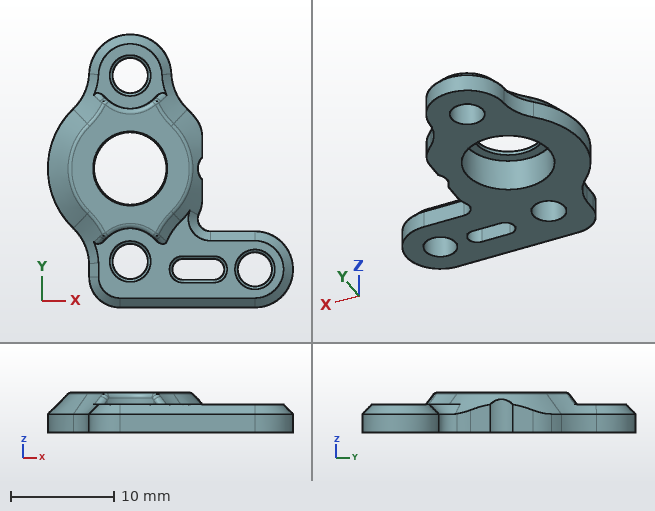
import cadquery as cq
import math

total_height = 3.9
plate_height = 2.73
wall_height = 1.8

body_radius = 8.0
bore_diameter = 7.0
bore_chamfer = 0.1
recess_diameter = 9.0
lip_thickness = 0.5
lug_offset = 9.0
lug_radius = 4.0
lug_blend_radius = 5.0
flat_x = 7.0
flat_corner_radius = 3.0
notch_radius = 1.65
notch_depth = 0.42

arm_end_x = 15.8
arm_bottom_y = -13.5
arm_radius = 3.7
arm_corner_radius = 3.0
arm_blend_radius = 1.2
arm_x = arm_end_x - arm_radius
arm_y = arm_bottom_y + arm_radius
arm_top_y = arm_y + arm_radius

lug_hole_diameter = 3.4
arm_hole_diameter = 3.29
slot_x = 6.6
slot_length = 5.0
slot_width = 2.0
hole_chamfer = 0.3

pocket_radius = 3.2
edge_fillet = 0.5


def on_circle(center, radius, toward):
    """Point of a circle that lies in the direction of another point."""
    angle = math.atan2(toward[1] - center[1], toward[0] - center[0])
    return (center[0] + radius * math.cos(angle), center[1] + radius * math.sin(angle))


def mirror_x(point):
    return (-point[0], point[1])


def mirror_y(point):
    return (point[0], -point[1])


origin = (0, 0)
lug_center = (0, lug_offset)
body_to_blend = body_radius + lug_blend_radius
lug_to_blend = lug_radius + lug_blend_radius
blend_y = (body_to_blend**2 - lug_to_blend**2 + lug_offset**2) / (2 * lug_offset)
blend_center = (math.sqrt(body_to_blend**2 - blend_y**2), blend_y)

blend_start = on_circle(origin, body_radius, blend_center)
blend_middle = on_circle(blend_center, lug_blend_radius, (0, lug_offset / 2))
blend_end = on_circle(lug_center, lug_radius, blend_center)


def bevelled(outline, height):
    """Solid of an outline with its upper rim bevelled at 45 degrees."""
    return outline.extrude(height).faces(">Z").chamfer(height - wall_height)


def make_body():
    lug_tip = (0, lug_offset + lug_radius)
    outline = (
        cq.Workplane("XY")
        .moveTo(*blend_start)
        .threePointArc(blend_middle, blend_end)
        .threePointArc(lug_tip, mirror_x(blend_end))
        .threePointArc(mirror_x(blend_middle), mirror_x(blend_start))
        .threePointArc((-body_radius, 0), mirror_y(mirror_x(blend_start)))
        .threePointArc(mirror_y(mirror_x(blend_middle)), mirror_y(mirror_x(blend_end)))
        .threePointArc(mirror_y(lug_tip), mirror_y(blend_end))
        .threePointArc(mirror_y(blend_middle), mirror_y(blend_start))
        .threePointArc((body_radius, 0), blend_start)
        .close()
    )
    return bevelled(outline, total_height)


def make_pocket(side):
    """Clearance over one lug: a round floor edge that opens outward along two 45 degree lines."""
    corner = pocket_radius * math.sqrt(0.5)
    reach = 2 * lug_radius
    return (
        cq.Workplane("XY", origin=(0, 0, plate_height))
        .moveTo(-corner, side * (lug_offset - corner))
        .threePointArc((0, side * (lug_offset - pocket_radius)), (corner, side * (lug_offset - corner)))
        .line(reach, side * reach)
        .line(-2 * (reach + corner), 0)
        .close()
        .extrude(total_height)
    )


flat_corner_x = flat_x - flat_corner_radius
flat_half_length = math.sqrt((body_radius - flat_corner_radius)**2 - flat_corner_x**2)
flat_corner_center = (flat_corner_x, flat_half_length)
flat_end = (flat_x, flat_half_length)
flat_corner_end = on_circle(origin, body_radius, flat_corner_center)
flat_corner_middle = on_circle(flat_corner_center, flat_corner_radius, (flat_x, flat_corner_end[1]))

lower_corner_center = mirror_y(flat_corner_center)
arm_blend_y = arm_top_y + arm_blend_radius
arm_blend_x = lower_corner_center[0] + math.sqrt(
    (flat_corner_radius + arm_blend_radius)**2 - (arm_blend_y - lower_corner_center[1])**2
)
arm_blend_center = (arm_blend_x, arm_blend_y)
arm_blend_start = (arm_blend_x, arm_top_y)
arm_blend_end = on_circle(lower_corner_center, flat_corner_radius, arm_blend_center)
arm_blend_middle = on_circle(arm_blend_center, arm_blend_radius, (0, arm_bottom_y))
lower_corner_middle = on_circle(lower_corner_center, flat_corner_radius, (flat_x, arm_blend_end[1]))


def make_flat_trim():
    """Cutter beside the +X side of the body: the flat, its rounded ends and the blend into the arm."""
    return (
        cq.Workplane("XY")
        .moveTo(*flat_corner_end)
        .threePointArc(flat_corner_middle, flat_end)
        .lineTo(*mirror_y(flat_end))
        .threePointArc(lower_corner_middle, arm_blend_end)
        .threePointArc(arm_blend_middle, arm_blend_start)
        .hLineTo(arm_end_x)
        .vLineTo(flat_corner_end[1])
        .close()
        .extrude(total_height)
    )


def make_plate():
    """Low plate: the arm and the lower lug. Its upper edge is an arc hidden inside the body."""
    left_end = mirror_y(mirror_x(blend_end))
    corner_center = (left_end[0] + arm_corner_radius, arm_bottom_y + arm_corner_radius)
    corner_middle = on_circle(
        corner_center, arm_corner_radius, (corner_center[0] - 0.26, corner_center[1] - 0.26)
    )
    outline = (
        cq.Workplane("XY")
        .moveTo(left_end[0], corner_center[1])
        .threePointArc(corner_middle, (corner_center[0], arm_bottom_y))
        .lineTo(arm_x, arm_bottom_y)
        .threePointArc((arm_end_x, arm_y), (arm_x, arm_top_y))
        .lineTo(*arm_blend_start)
        .threePointArc(arm_blend_middle, arm_blend_end)
        .threePointArc(lower_corner_middle, mirror_y(flat_end))
        .tangentArcPoint(mirror_y(mirror_x(blend_start)), relative=False)
        .threePointArc(mirror_y(mirror_x(blend_middle)), left_end)
        .close()
    )
    return bevelled(outline, plate_height)


def make_hole(x, y, diameter, top, chamfer):
    """Cutter for a through hole with a chamfered upper rim."""
    radius = diameter / 2
    profile = [
        (0, 0),
        (radius, 0),
        (radius, top - chamfer),
        (radius + chamfer, top),
        (0, top),
    ]
    return cq.Workplane("XZ").polyline(profile).close().revolve().translate((x, y, 0))


def make_slot():
    """Cutter for the through slot with a chamfered upper rim."""
    straight = cq.Workplane("XY").slot2D(slot_length, slot_width).extrude(plate_height)
    flare = (
        cq.Workplane("XY", origin=(0, 0, plate_height))
        .slot2D(slot_length + 2 * hole_chamfer, slot_width + 2 * hole_chamfer)
        .extrude(-hole_chamfer, taper=45)
    )
    return straight.union(flare).translate((slot_x, arm_y, 0))


body = make_body()
for side in (1, -1):
    body = body.cut(make_pocket(side))
body = body.edges(">Z or %HYPERBOLA").fillet(edge_fillet)

result = body.union(make_plate()).cut(make_flat_trim())

notch_x = flat_x - notch_depth + notch_radius
notch = cq.Workplane("XY").center(notch_x, 0).circle(notch_radius).extrude(total_height)
result = result.cut(notch)

result = result.cut(make_hole(0, 0, bore_diameter, total_height, bore_chamfer))
recess = cq.Workplane("XY").circle(recess_diameter / 2).extrude(total_height - lip_thickness)
result = result.cut(recess)

for side in (1, -1):
    result = result.cut(make_hole(0, side * lug_offset, lug_hole_diameter, plate_height, hole_chamfer))
result = result.cut(make_hole(arm_x, arm_y, arm_hole_diameter, plate_height, hole_chamfer))
result = result.cut(make_slot())